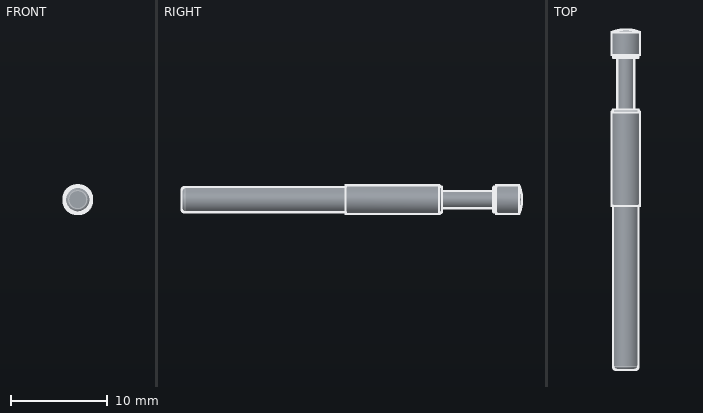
import cadquery as cq

length = 35.3
large_diameter = 3.0
neck_diameter = 1.8
tail_diameter = 2.65
collar_diameter = 2.7

crown_height = 0.32
head_length = 3.0
neck_end = 8.3
body_end = 18.3

collar_length = 0.32
collar_chamfer = 0.1
shoulder_chamfer_length = 0.32
shoulder_chamfer_depth = 0.2
tail_fillet = 0.4

large_radius = large_diameter / 2
neck_radius = neck_diameter / 2
tail_radius = tail_diameter / 2
collar_radius = collar_diameter / 2
shoulder_radius = large_radius - shoulder_chamfer_depth

crown_sphere = (large_radius**2 + crown_height**2) / (2 * crown_height)
crown_mid_radius = large_radius / 2
crown_mid_drop = crown_sphere - (crown_sphere**2 - crown_mid_radius**2) ** 0.5

top = length / 2
bottom = -length / 2
profile = (
    cq.Workplane("XY")
    .moveTo(0, top)
    .threePointArc((crown_mid_radius, top - crown_mid_drop), (large_radius, top - crown_height))
    .lineTo(large_radius, top - head_length + collar_length)
    .lineTo(collar_radius, top - head_length + collar_length)
    .lineTo(collar_radius, top - head_length + collar_chamfer)
    .lineTo(collar_radius - collar_chamfer, top - head_length)
    .lineTo(neck_radius, top - head_length)
    .lineTo(neck_radius, top - neck_end)
    .lineTo(shoulder_radius, top - neck_end)
    .lineTo(large_radius, top - neck_end - shoulder_chamfer_length)
    .lineTo(large_radius, top - body_end)
    .lineTo(tail_radius, top - body_end)
    .lineTo(tail_radius, bottom)
    .lineTo(0, bottom)
    .close()
)

pin = profile.revolve(360, (0, 0), (0, 1))

result = pin.faces("<Y").edges().fillet(tail_fillet)